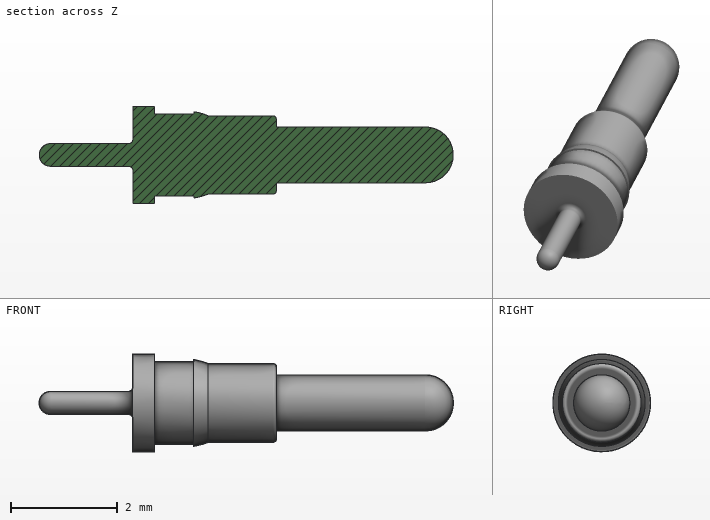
import cadquery as cq


tail_radius = 0.22
tail_fillet = 0.08
flange_radius = 0.915
barrel_radius = 0.775
ridge_radius = 0.81
ridge_bulge = 0.012
sleeve_radius = 0.74
sleeve_rounding = 0.06
plunger_radius = 0.53

total_length = 7.75
flange_thickness = 0.41
barrel_length = 0.73
ridge_length = 0.27
sleeve_length = 1.28

flange_start = 1.75
flange_end = flange_start + flange_thickness
ridge_start = flange_end + barrel_length
ridge_end = ridge_start + ridge_length
sleeve_end = ridge_end + sleeve_length
ridge_mid_radius = (ridge_radius + sleeve_radius) / 2 + ridge_bulge


def revolve_about_x(profile):
    """Turn a closed half profile a full turn about the X axis."""
    return profile.close().revolve(360, (0, 0, 0), (1, 0, 0))


def round_ended_rod(start, end, radius):
    """Solid rod along X with a hemisphere at both ends."""
    diagonal = radius * 0.5 ** 0.5
    profile = (
        cq.Workplane("XY")
        .moveTo(start, 0)
        .threePointArc((start + radius - diagonal, diagonal), (start + radius, radius))
        .lineTo(end - radius, radius)
        .threePointArc((end - radius + diagonal, diagonal), (end, 0))
    )
    return revolve_about_x(profile)


fillet_mid_offset = tail_fillet * (1 - 0.5 ** 0.5)
rounding_mid_offset = sleeve_rounding * (1 - 0.5 ** 0.5)
barrel = revolve_about_x(
    cq.Workplane("XY")
    .moveTo(flange_start - tail_fillet, 0)
    .lineTo(flange_start - tail_fillet, tail_radius)
    .threePointArc(
        (flange_start - fillet_mid_offset, tail_radius + fillet_mid_offset),
        (flange_start, tail_radius + tail_fillet),
    )
    .lineTo(flange_start, flange_radius)
    .lineTo(flange_end, flange_radius)
    .lineTo(flange_end, barrel_radius)
    .lineTo(ridge_start, barrel_radius)
    .lineTo(ridge_start, ridge_radius)
    .threePointArc((ridge_start + ridge_length / 2, ridge_mid_radius), (ridge_end, sleeve_radius))
    .lineTo(sleeve_end - sleeve_rounding, sleeve_radius)
    .threePointArc(
        (sleeve_end - rounding_mid_offset, sleeve_radius - rounding_mid_offset),
        (sleeve_end, sleeve_radius - sleeve_rounding),
    )
    .lineTo(sleeve_end, 0)
)

tail = round_ended_rod(0, flange_end, tail_radius)
plunger = round_ended_rod(ridge_end, total_length, plunger_radius)

result = barrel.union(tail).union(plunger)